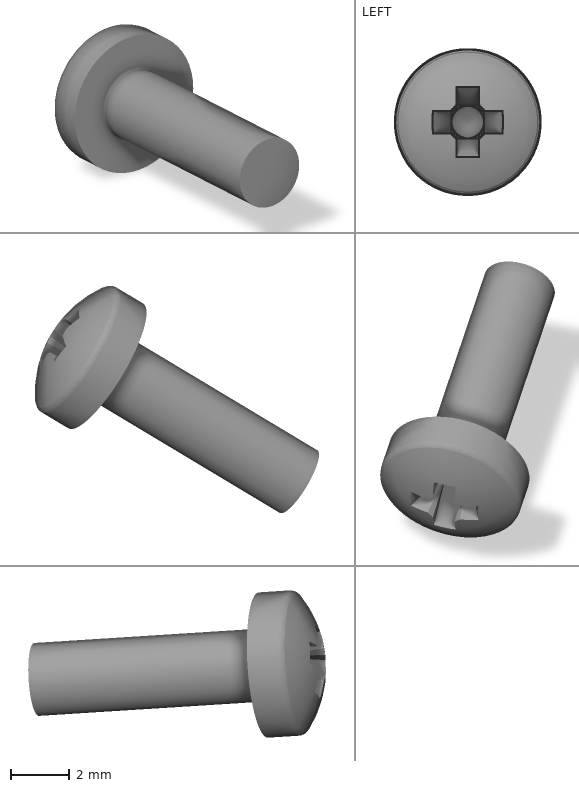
import cadquery as cq
import math

overall_length = 10.05
shank_length = 8.0
shank_radius = 1.26
head_radius = 2.5
head_height = 2.11
dome_radius = 4.0
rim_fillet_radius = 0.25
neck_fillet_radius = 0.08

arm_width = 0.77
arm_reach = 1.21
core_radius = 0.56
recess_depth = 1.61
tip_depth = 0.22
corner_mouth_distance = 0.68
corner_floor_distance = 0.56

shank_end = overall_length / 2
head_back = shank_end - shank_length
apex = head_back - head_height
recess_floor = apex + recess_depth
mouth = apex + dome_radius - math.sqrt(dome_radius**2 - arm_reach**2)


def make_body():
    """Domed head and shank, revolved about X."""
    rim = apex + dome_radius - math.sqrt(dome_radius**2 - head_radius**2)
    half_radius = head_radius / 2
    half_height = apex + dome_radius - math.sqrt(dome_radius**2 - half_radius**2)
    head = (
        cq.Workplane("XY")
        .moveTo(apex, 0)
        .threePointArc((half_height, half_radius), (rim, head_radius))
        .lineTo(head_back, head_radius)
        .lineTo(head_back, 0)
        .close()
        .revolve(360, (0, 0, 0), (1, 0, 0))
    )
    rim_point = (rim, 0, head_radius)
    head = head.edges(cq.selectors.NearestToPointSelector(rim_point)).fillet(rim_fillet_radius)
    shank = (
        cq.Workplane("XY")
        .moveTo(head_back, 0)
        .lineTo(head_back, shank_radius + neck_fillet_radius)
        .radiusArc((head_back + neck_fillet_radius, shank_radius), -neck_fillet_radius)
        .lineTo(shank_end, shank_radius)
        .lineTo(shank_end, 0)
        .close()
        .revolve(360, (0, 0, 0), (1, 0, 0))
    )
    return head.union(shank)


def make_wing_pair():
    """Two opposite arms whose end walls slope in towards the recess floor."""
    slope = (arm_reach - core_radius) / (recess_floor - mouth)
    outer_reach = arm_reach + slope * (mouth - apex)
    return (
        cq.Workplane("XZ")
        .polyline([
            (apex, -outer_reach),
            (apex, outer_reach),
            (recess_floor, core_radius),
            (recess_floor, -core_radius),
        ])
        .close()
        .extrude(arm_width / 2, both=True)
    )


def make_corner_core():
    """Tapered square core, turned 45 degrees, that bevels the corners between arms."""
    return (
        cq.Workplane("YZ", origin=(apex, 0, 0))
        .rect(2 * corner_mouth_distance, 2 * corner_mouth_distance)
        .workplane(offset=recess_depth)
        .rect(2 * corner_floor_distance, 2 * corner_floor_distance)
        .loft()
        .rotate((0, 0, 0), (1, 0, 0), 45)
    )


def make_recess():
    """Cross recess with beveled inner corners and a conical bottom."""
    wings = make_wing_pair()
    crossed_wings = wings.rotate((0, 0, 0), (1, 0, 0), 90)
    core_limit = (
        cq.Workplane("YZ", origin=(apex, 0, 0))
        .rect(2 * core_radius, 2 * core_radius)
        .extrude(recess_depth)
    )
    tip = cq.Workplane(
        cq.Solid.makeCone(
            core_radius, 0, tip_depth, cq.Vector(recess_floor, 0, 0), cq.Vector(1, 0, 0)
        )
    )
    core = make_corner_core().intersect(core_limit)
    return wings.union(crossed_wings).union(core).union(tip)


result = make_body().cut(make_recess())